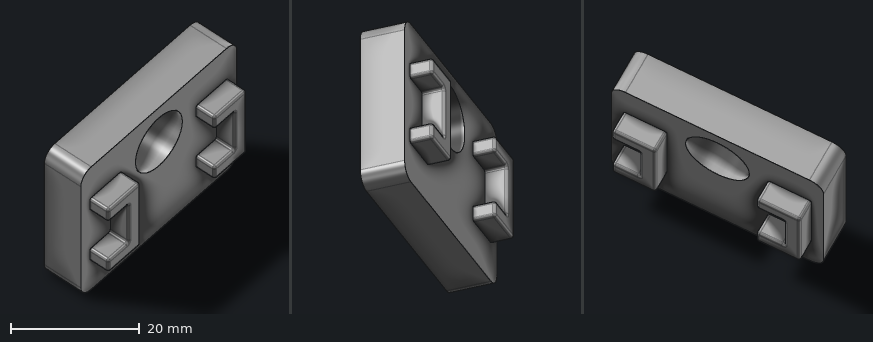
import cadquery as cq

plate_thickness = 7.5
plate_width = 37.3
plate_height = 28.7
plate_corner_radius = 2.5

hole_diameter = 11.2
hole_top_margin = 2.4

clip_length = 3.8
clip_width = 7.65
clip_height = 14.5
clip_spacing = 25.35
clip_center_z = -0.1
flange_thickness = 2.75
web_thickness = flange_thickness
clip_edge_radius = 0.5


def make_plate():
    """Plate with rounded corners and its through hole, centred on Y and Z."""
    plate = (
        cq.Workplane("YZ")
        .rect(plate_width, plate_height)
        .extrude(plate_thickness)
        .edges("|X")
        .fillet(plate_corner_radius)
    )
    hole_center_z = plate_height / 2 - hole_top_margin - hole_diameter / 2
    hole = (
        cq.Workplane("YZ")
        .center(0, hole_center_z)
        .circle(hole_diameter / 2)
        .extrude(plate_thickness)
    )
    return plate.cut(hole)


def make_clip(center_y):
    """Two flanges joined by a web on the +Y side, with rounded corners and free end."""
    slot_depth = clip_width - web_thickness
    slot_height = clip_height - 2 * flange_thickness
    slot_center_y = center_y - web_thickness / 2

    block = (
        cq.Workplane("YZ", origin=(plate_thickness, center_y, clip_center_z))
        .rect(clip_width, clip_height)
        .extrude(clip_length)
    )
    slot = (
        cq.Workplane("YZ", origin=(plate_thickness, slot_center_y, clip_center_z))
        .rect(slot_depth, slot_height)
        .extrude(clip_length)
    )
    clip = block.cut(slot).edges("|X").fillet(clip_edge_radius)
    return clip.faces(">X").edges().fillet(clip_edge_radius)


result = make_plate()
for side in (-1, 1):
    result = result.union(make_clip(side * clip_spacing / 2))